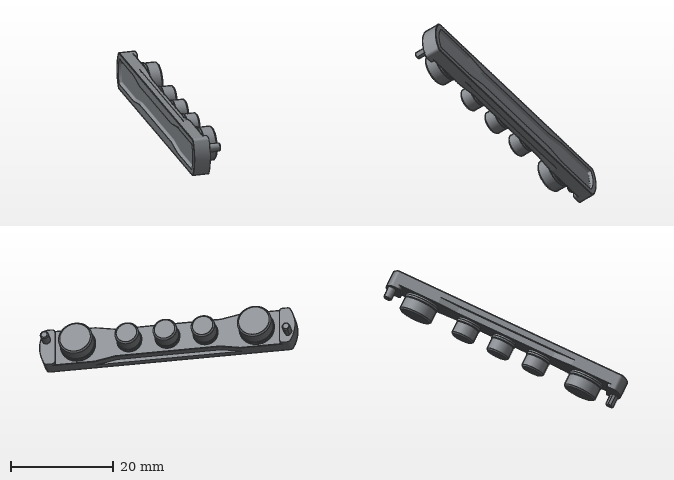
import cadquery as cq
import math


length = 50.8
height = 7.6
end_radius = 7.1
corner_radius = 0.7
front_chamfer = 0.1
back_chamfer = 0.1

ledge_top = 1.25
back_face = 2.65
pad_top = 3.3
pin_top = 5.65
stud_top = 6.15

waist_start = 14.45
waist_end = 10.35
waist_depth = 0.75

pocket_depth = 0.6
pocket_wall_draft = 27.0
pocket_end_margin = 1.05
pocket_half_height = 2.7
pocket_corner_radius = 0.4
pocket_floor_fillet = 0.2

pad_inner_x = 22.3
pad_corner_radius = 0.6

large_stud_radius = 3.35
small_stud_radius = 2.35
large_stud_x = 17.8
small_stud_x = 7.55
stud_chamfer = 0.3
bead_bulge = 0.15
bead_root = 0.05
bead_peak = 3.05
bead_shoulder = 3.45
bead_top = 3.6

pin_radius = 0.8
pin_chamfer = 0.2
pin_x = 24.05
pin_z = 1.6
diamond_tip_half_width = 0.3

half_length = length / 2
half_height = height / 2


def outline_at(y):
    """Sketch plane parallel to the front face, with local axes X and Z."""
    return cq.Workplane("XZ", origin=(0, y, 0))


def end_x(z, radius):
    """Distance from the bar centre to an end arc at height z."""
    return half_length - end_radius + math.sqrt(radius**2 - z**2)


def waisted_outline(sketch, half_z, radius):
    """Closed outline with arched ends and a waist in both long sides."""
    waist_z = half_z - waist_depth
    corner_x = end_x(half_z, radius)
    tip_x = end_x(0, radius)
    return (
        sketch.moveTo(-corner_x, half_z)
        .lineTo(-waist_start, half_z)
        .lineTo(-waist_end, waist_z)
        .lineTo(waist_end, waist_z)
        .lineTo(waist_start, half_z)
        .lineTo(corner_x, half_z)
        .threePointArc((tip_x, 0), (corner_x, -half_z))
        .lineTo(waist_start, -half_z)
        .lineTo(waist_end, -waist_z)
        .lineTo(-waist_end, -waist_z)
        .lineTo(-waist_start, -half_z)
        .lineTo(-corner_x, -half_z)
        .threePointArc((-tip_x, 0), (-corner_x, half_z))
        .close()
    )


def full_bar(thickness):
    """Bar with arched ends, rounded at its four corners."""
    corner_x = end_x(half_height, end_radius)
    return (
        outline_at(0)
        .moveTo(-corner_x, half_height)
        .lineTo(corner_x, half_height)
        .threePointArc((half_length, 0), (corner_x, -half_height))
        .lineTo(-corner_x, -half_height)
        .threePointArc((-half_length, 0), (-corner_x, half_height))
        .close()
        .extrude(-thickness)
        .edges("|Y")
        .fillet(corner_radius)
        .faces("<Y")
        .edges()
        .chamfer(front_chamfer)
    )


def waisted_back():
    """Back layer of the bar, set in along the waist and chamfered at the back."""
    layer = waisted_outline(outline_at(0), half_height, end_radius).extrude(-back_face)
    return layer.faces(">Y").edges().chamfer(back_chamfer)


def end_pad_zone(side):
    """Block that keeps one raised end of the bar, rounded at its inner corners."""
    zone_length = 2 * (half_length - pad_inner_x)
    inner_face = "<X" if side > 0 else ">X"
    return (
        outline_at(0)
        .center(side * half_length, 0)
        .rect(zone_length, height)
        .extrude(-pad_top)
        .faces(inner_face)
        .edges("|Y")
        .fillet(pad_corner_radius)
    )


def pocket():
    """Shallow waisted pocket with sloping walls and a rounded floor edge."""
    rim = waisted_outline(outline_at(0), pocket_half_height, end_radius - pocket_end_margin)
    straight_recess = rim.extrude(-pocket_depth).edges("|Y").fillet(pocket_corner_radius)
    rounded_rim = straight_recess.faces("<Y").wires().toPending().workplane(invert=True)
    recess = rounded_rim.extrude(pocket_depth, taper=pocket_wall_draft, combine=False)
    return recess.faces(">Y").edges().fillet(pocket_floor_fillet)


def stud(x, radius):
    """Round stud with a chamfered top and a snap bead around its foot."""
    bead_radius = radius + bead_bulge
    profile = [
        (0, ledge_top),
        (radius + bead_root, ledge_top),
        (radius + bead_root, back_face),
        (bead_radius, bead_peak),
        (bead_radius - bead_root, bead_shoulder),
        (radius, bead_top),
        (radius, stud_top - stud_chamfer),
        (radius - stud_chamfer, stud_top),
        (0, stud_top),
    ]
    axis_end = (0, 1)
    body = cq.Workplane("XY").polyline(profile).close().revolve(360, (0, 0), axis_end)
    return body.translate((x, 0, 0))


def round_pin(x, z):
    """Round locating pin with a chamfered tip."""
    return (
        outline_at(ledge_top)
        .center(x, z)
        .circle(pin_radius)
        .extrude(ledge_top - pin_top)
        .faces(">Y")
        .chamfer(pin_chamfer)
    )


def diamond_pin(x, z):
    """Locating pin relieved by four flats, left round only at its upper and lower tips."""
    flat_z = math.sqrt(pin_radius**2 - diamond_tip_half_width**2)
    relief = (
        outline_at(ledge_top)
        .center(x, z)
        .moveTo(-pin_radius, 0)
        .lineTo(-diamond_tip_half_width, flat_z)
        .threePointArc((0, pin_radius), (diamond_tip_half_width, flat_z))
        .lineTo(pin_radius, 0)
        .lineTo(diamond_tip_half_width, -flat_z)
        .threePointArc((0, -pin_radius), (-diamond_tip_half_width, -flat_z))
        .close()
        .extrude(ledge_top - pin_top)
    )
    return round_pin(x, z).intersect(relief)


result = full_bar(ledge_top).union(full_bar(back_face).intersect(waisted_back()))

for side in (-1, 1):
    result = result.union(full_bar(pad_top).intersect(end_pad_zone(side)))

result = result.cut(pocket())

for x in (-large_stud_x, large_stud_x):
    result = result.union(stud(x, large_stud_radius))
for x in (-small_stud_x, 0, small_stud_x):
    result = result.union(stud(x, small_stud_radius))

result = result.union(diamond_pin(-pin_x, -pin_z))
result = result.union(round_pin(pin_x, pin_z))